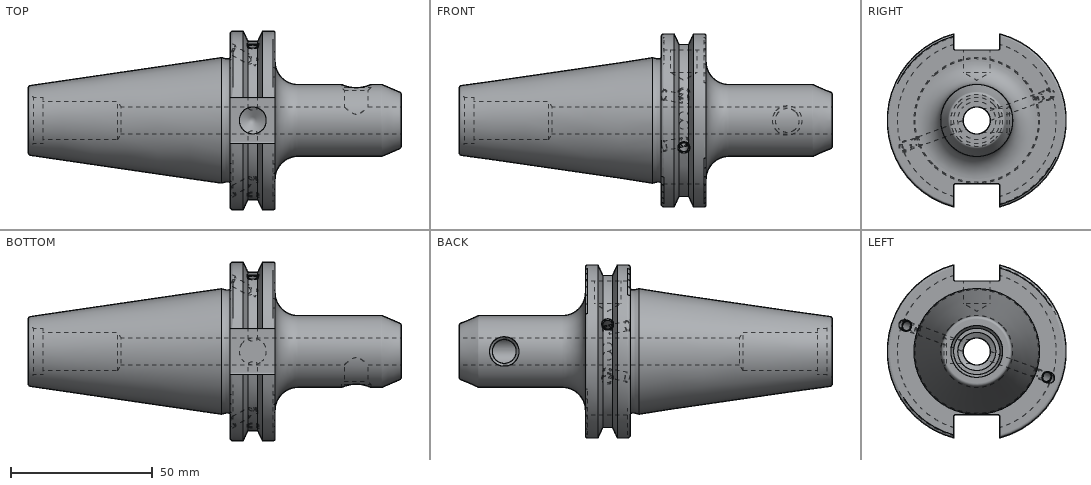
import cadquery as cq
import math

length = 131.8
small_end_x = -length / 2
nose_end_x = length / 2
gauge_x = 2.4
neck_x = 4.0
flange_x = 5.4
flange_width = 16.0
groove_offset = 8.0
flange_end_x = flange_x + flange_width
flange_middle_x = flange_x + flange_width / 2
groove_x = flange_x + groove_offset
nose_cone_length = 6.9

taper_ratio = 7 / 24
gauge_diameter = 44.4
small_end_diameter = gauge_diameter - taper_ratio * (gauge_x - small_end_x)
neck_diameter = 43.6
flange_diameter = 63.2
nose_diameter = 25.4
nose_tip_diameter = 19.5

small_end_round = 1.0
flange_edge_round = 1.0
flange_back_round = 0.8
nose_blend_radius = 8.0
nose_tip_round = 1.0
nose_shoulder_round = 0.8
neck_corner_round = 0.5

groove_root_diameter = 56.1
groove_root_width = 3.4
groove_mouth_width = 6.9

bore_diameter = 9.5
thread_diameter = 13.5
counterbore_diameter = 16.3
entry_diameter = 18.3
entry_depth = 2.0
counterbore_depth = 5.3
thread_depth = 31.6
drill_point_angle = 118

slot_width = 16.2
upper_slot_height = 24.9
lower_slot_height = 22.4
slot_corner_round = 0.5
dimple_diameter = 9.5
dimple_depth = 7.9

coolant_angle = 20
coolant_circle_radius = 26.9
coolant_tilt = 30
coolant_mouth_diameter = 4
coolant_mouth_depth = 1.2
coolant_diameter = 3.3
coolant_depth = 10.5
plug_diameter = 4.2
plug_depth = 0.4

screw_x = 49.9
screw_diameter = 8.4
screw_mouth_diameter = 10.4


def point_length(diameter):
    """Length of the conical point a drill of this diameter leaves."""
    return diameter / 2 / math.tan(math.radians(drill_point_angle / 2))


def turned_body():
    """Taper, flange and nose as one revolved outline."""
    nose_radius = nose_diameter / 2
    blend_end_x = flange_end_x + nose_blend_radius
    blend_centre_radius = nose_radius + nose_blend_radius
    blend_offset = nose_blend_radius * math.sqrt(0.5)
    blend_middle = (blend_end_x - blend_offset, blend_centre_radius - blend_offset)
    outline = (
        cq.Workplane("XY")
        .moveTo(small_end_x, 0)
        .lineTo(small_end_x, small_end_diameter / 2)
        .lineTo(gauge_x, gauge_diameter / 2)
        .lineTo(neck_x, neck_diameter / 2)
        .lineTo(flange_x, neck_diameter / 2)
        .lineTo(flange_x, flange_diameter / 2)
        .lineTo(groove_x - groove_mouth_width / 2, flange_diameter / 2)
        .lineTo(groove_x - groove_root_width / 2, groove_root_diameter / 2)
        .lineTo(groove_x + groove_root_width / 2, groove_root_diameter / 2)
        .lineTo(groove_x + groove_mouth_width / 2, flange_diameter / 2)
        .lineTo(flange_end_x, flange_diameter / 2)
        .lineTo(flange_end_x, blend_centre_radius)
        .threePointArc(blend_middle, (blend_end_x, nose_radius))
        .lineTo(nose_end_x - nose_cone_length, nose_radius)
        .lineTo(nose_end_x, nose_tip_diameter / 2)
        .lineTo(nose_end_x, 0)
        .close()
    )
    return outline.revolve(360, (0, 0, 0), (1, 0, 0))


def round_ring(body, x, diameter, radius):
    """Round the circular edge of this diameter at x."""
    tolerance = 0.01
    rings = [
        edge
        for edge in body.edges("%CIRCLE").vals()
        if abs(edge.arcCenter().x - x) < tolerance and abs(edge.radius() - diameter / 2) < tolerance
    ]
    return body.newObject(rings).fillet(radius)


def bore():
    """Threaded entry from the small end and a plain bore through to the nose."""
    thread_end_x = small_end_x + thread_depth
    point = (thread_diameter - bore_diameter) / thread_diameter * point_length(thread_diameter)
    return (
        cq.Workplane("XY")
        .moveTo(small_end_x, 0)
        .lineTo(small_end_x, entry_diameter / 2)
        .lineTo(small_end_x + entry_depth, counterbore_diameter / 2)
        .lineTo(small_end_x + counterbore_depth, counterbore_diameter / 2)
        .lineTo(small_end_x + counterbore_depth, thread_diameter / 2)
        .lineTo(thread_end_x, thread_diameter / 2)
        .lineTo(thread_end_x + point, bore_diameter / 2)
        .lineTo(nose_end_x, bore_diameter / 2)
        .lineTo(nose_end_x, 0)
        .close()
        .revolve(360, (0, 0, 0), (1, 0, 0))
    )


def drive_slots():
    """Slots over the full flange width, the lower one deeper."""
    slot = (
        cq.Workplane("XY")
        .box(flange_width, slot_width, flange_diameter, centered=(True, True, False))
        .edges("|X and <Z")
        .fillet(slot_corner_round)
    )
    upper = slot.translate((flange_middle_x, 0, upper_slot_height))
    lower = slot.rotate((0, 0, 0), (1, 0, 0), 180).translate((flange_middle_x, 0, -lower_slot_height))
    return upper.union(lower)


def drill(diameter, depth, start, direction):
    """Cylinder from a start point along a direction."""
    return cq.Workplane(cq.Solid.makeCylinder(diameter / 2, depth, start, direction))


def dimple():
    """Drilled hole with a conical end in the floor of the upper slot."""
    start = cq.Vector(groove_x, 0, upper_slot_height)
    down = cq.Vector(0, 0, -1)
    tip = cq.Solid.makeCone(
        dimple_diameter / 2, 0, point_length(dimple_diameter), start + down * dimple_depth, down
    )
    return drill(dimple_diameter, dimple_depth, start, down).union(cq.Workplane(tip))


def coolant_holes():
    """Slanting hole from the flange face into a radial hole from the groove, on two opposite sides."""
    tilt = math.radians(coolant_tilt)
    slant = cq.Vector(math.cos(tilt), -math.sin(tilt), 0)
    mouth = cq.Vector(flange_x, coolant_circle_radius, 0)
    lead_in = coolant_mouth_diameter
    outside = mouth - slant * lead_in
    groove = cq.Vector(groove_x, flange_diameter / 2, 0)
    inward = cq.Vector(0, -1, 0)
    plug_reach = (flange_diameter - groove_root_diameter) / 2 + plug_depth
    side = drill(coolant_mouth_diameter, lead_in + coolant_mouth_depth, outside, slant)
    side = side.union(drill(coolant_diameter, coolant_depth, mouth, slant))
    side = side.union(drill(plug_diameter, plug_reach, groove, inward))
    side = side.union(drill(coolant_diameter, flange_diameter / 2, groove, inward))
    side = side.rotate((0, 0, 0), (1, 0, 0), coolant_angle)
    return side.union(side.rotate((0, 0, 0), (1, 0, 0), 180))


def screw_hole():
    """Clamping screw hole from the +Y side into the bore, with a conical mouth."""
    nose_radius = nose_diameter / 2
    inward = cq.Vector(0, -1, 0)
    start = cq.Vector(screw_x, nose_radius, 0)
    cone_depth = (screw_mouth_diameter - screw_diameter) / 2
    mouth_drop = nose_radius - math.sqrt(nose_radius**2 - (screw_mouth_diameter / 2) ** 2)
    mouth = drill(screw_mouth_diameter, mouth_drop, start, inward)
    cone = cq.Solid.makeCone(
        screw_mouth_diameter / 2, screw_diameter / 2, cone_depth, start + inward * mouth_drop, inward
    )
    return drill(screw_diameter, nose_radius, start, inward).union(mouth).union(cq.Workplane(cone))


body = turned_body()
for x, diameter, radius in (
    (small_end_x, small_end_diameter, small_end_round),
    (flange_x, neck_diameter, neck_corner_round),
    (flange_x, flange_diameter, flange_edge_round),
    (flange_end_x, flange_diameter, flange_back_round),
    (nose_end_x - nose_cone_length, nose_diameter, nose_shoulder_round),
    (nose_end_x, nose_tip_diameter, nose_tip_round),
):
    body = round_ring(body, x, diameter, radius)

result = body.cut(bore()).cut(drive_slots()).cut(dimple()).cut(coolant_holes()).cut(screw_hole())